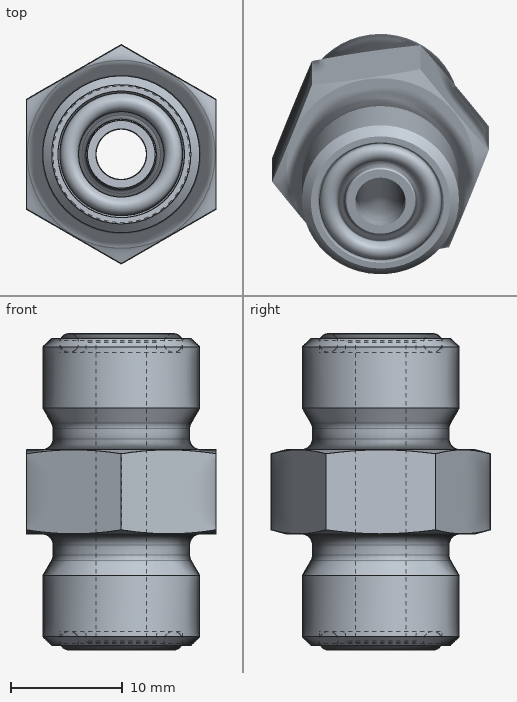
import cadquery as cq
import math

overall_height = 28.32
bore_radius = 4.5 / 2

hex_across_flats = 17.0
hex_height = 7.55
hex_corner_radius = hex_across_flats / math.sqrt(3)
hex_face_radius = 8.4
hex_chamfer_angle = math.radians(15)
cone_clearance = 0.28

thread_radius = 14.05 / 2
thread_start = 7.5
end_face = 13.74
end_chamfer_width = 0.8
end_chamfer_height = 0.76

undercut_radius = 12.23 / 2
hex_fillet = 0.95
runout_fillet = 1.0
runout_angle = math.radians(30)

groove_radius = 11.0 / 2
groove_mouth_chamfer = 0.17
boss_radius = 6.3 / 2
boss_chamfer = 0.1
boss_top = 13.48
boss_root_fillet = 0.37

ring_section_radius = 1.67 / 2
ring_center_radius = groove_radius - ring_section_radius
ring_center_height = overall_height / 2 - ring_section_radius
groove_floor = ring_center_height - ring_section_radius


def revolve_about_z(profile):
    """Revolve an XZ profile, with X as radius, fully about the Z axis."""
    return profile.revolve(360, (0, 0, 0), (0, 1, 0))


def mirrored_below(shape):
    """Copy an upper-end shape to the lower end."""
    return shape.mirror("XY")


def make_hexagon():
    """Hexagon with its corners across Y, chamfered by a cone at both ends."""
    half_height = hex_height / 2
    prism = (
        cq.Workplane("XY")
        .workplane(offset=-half_height)
        .polygon(6, 2 * hex_corner_radius)
        .extrude(hex_height)
        .rotate((0, 0, 0), (0, 0, 1), 90)
    )
    cone_reach = hex_corner_radius + cone_clearance
    cone_drop = (cone_reach - hex_face_radius) * math.tan(hex_chamfer_angle)
    envelope = revolve_about_z(
        cq.Workplane("XZ")
        .moveTo(0, -half_height)
        .lineTo(hex_face_radius, -half_height)
        .lineTo(cone_reach, cone_drop - half_height)
        .lineTo(cone_reach, half_height - cone_drop)
        .lineTo(hex_face_radius, half_height)
        .lineTo(0, half_height)
        .close()
    )
    return prism.intersect(envelope)


def make_threaded_end():
    """Upper stub: filleted undercut, conical run-out and chamfered thread cylinder."""
    hex_top = hex_height / 2
    fillet_offset = hex_fillet * (1 - math.sqrt(0.5))

    cone_radius = undercut_radius + runout_fillet * (1 - math.cos(runout_angle))
    cone_start = thread_start - (thread_radius - cone_radius) / math.tan(runout_angle)
    arc_start = cone_start - runout_fillet * math.sin(runout_angle)
    half_angle = runout_angle / 2
    arc_mid_radius = undercut_radius + runout_fillet * (1 - math.cos(half_angle))
    arc_mid_height = arc_start + runout_fillet * math.sin(half_angle)

    return revolve_about_z(
        cq.Workplane("XZ")
        .moveTo(0, 0)
        .lineTo(undercut_radius + hex_fillet, 0)
        .lineTo(undercut_radius + hex_fillet, hex_top)
        .threePointArc(
            (undercut_radius + fillet_offset, hex_top + fillet_offset),
            (undercut_radius, hex_top + hex_fillet),
        )
        .lineTo(undercut_radius, arc_start)
        .threePointArc((arc_mid_radius, arc_mid_height), (cone_radius, cone_start))
        .lineTo(thread_radius, thread_start)
        .lineTo(thread_radius, end_face - end_chamfer_height)
        .lineTo(thread_radius - end_chamfer_width, end_face)
        .lineTo(0, end_face)
        .close()
    )


def make_seal_recess():
    """Material removed from the upper end: ring groove and the space above the boss."""
    root_offset = boss_root_fillet * (1 - math.sqrt(0.5))
    return revolve_about_z(
        cq.Workplane("XZ")
        .moveTo(0, boss_top)
        .lineTo(boss_radius - boss_chamfer, boss_top)
        .lineTo(boss_radius, boss_top - boss_chamfer)
        .lineTo(boss_radius, groove_floor + boss_root_fillet)
        .threePointArc(
            (boss_radius + root_offset, groove_floor + root_offset),
            (boss_radius + boss_root_fillet, groove_floor),
        )
        .lineTo(groove_radius, groove_floor)
        .lineTo(groove_radius, end_face - groove_mouth_chamfer)
        .lineTo(groove_radius + groove_mouth_chamfer, end_face)
        .lineTo(0, end_face)
        .close()
    )


def make_fitting():
    """One-piece fitting body with a through bore."""
    threaded_end = make_threaded_end()
    recess = make_seal_recess()
    bore = cq.Workplane("XY").circle(bore_radius).extrude(overall_height / 2, both=True)
    return (
        make_hexagon()
        .union(threaded_end)
        .union(mirrored_below(threaded_end))
        .cut(recess)
        .cut(mirrored_below(recess))
        .cut(bore)
    )


def make_o_ring(center_height):
    """O-ring of round section, centred on the Z axis."""
    return revolve_about_z(
        cq.Workplane("XZ").moveTo(ring_center_radius, center_height).circle(ring_section_radius)
    )


fitting = make_fitting()
o_rings = [make_o_ring(side * ring_center_height) for side in (1, -1)]

result = cq.Compound.makeCompound([fitting.val(), *[ring.val() for ring in o_rings]])